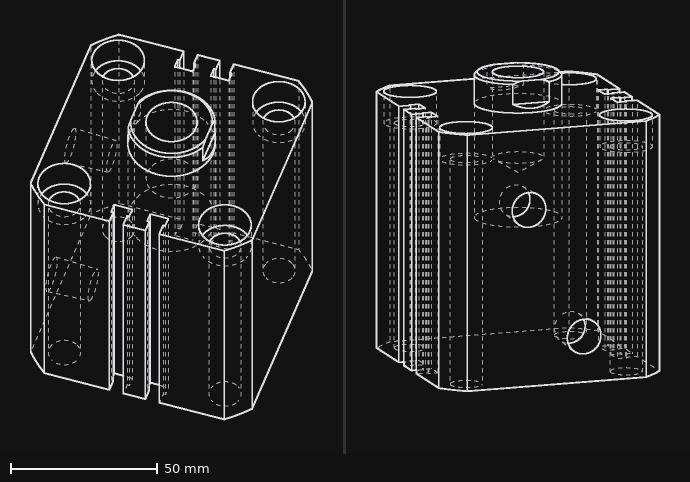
import cadquery as cq
import math

body_width = 80.0
body_height = 90.0
corner_radius = 51.5

groove_offset = 6.5
groove_mouth_width = 5.0
groove_inner_width = 6.5
groove_lip_depth = 4.2
groove_depth = 7.5

bolt_spacing = 58.0
bolt_hole_diameter = 11.0
counterbore_diameter = 18.0
counterbore_depth = 11.0

port_mouth_diameter = 12.2
port_floor_diameter = 11.2
port_depth = 15.0
port_places = [(10.0, 62.0), (-10.0, 16.0)]

rod_diameter = 30.0
rod_protrusion = 11.0
rod_engagement = 40.0
rod_chamfer = 1.0
rod_top = body_height + rod_protrusion
rod_bottom = body_height - rod_engagement

flat_spacing = 27.0
flat_length = 8.0
flat_depth = (rod_diameter - flat_spacing) / 2

drill_diameter = 17.5
drill_depth = 30.0
drill_point_angle = 118.0


def make_groove_cutter(x, side):
    """T-slot at x, open to the +Y face for side = 1 and to the -Y face for side = -1."""
    face = body_width / 2
    inner_depth = groove_depth - groove_lip_depth
    mouth = (
        cq.Workplane("XY")
        .center(x, side * (face - groove_depth / 2))
        .rect(groove_mouth_width, groove_depth)
        .extrude(body_height)
    )
    inner = (
        cq.Workplane("XY")
        .center(x, side * (face - groove_depth + inner_depth / 2))
        .rect(groove_inner_width, inner_depth)
        .extrude(body_height)
    )
    return mouth.union(inner)


def make_port_cutter(y, z):
    """Blind tapered port running along +X from the -X face."""
    port = cq.Solid.makeCone(
        port_mouth_diameter / 2,
        port_floor_diameter / 2,
        port_depth,
        cq.Vector(-body_width / 2, y, z),
        cq.Vector(1, 0, 0),
    )
    return cq.Workplane(port)


def make_body():
    square = cq.Workplane("XY").rect(body_width, body_width).extrude(body_height)
    corner_turning = cq.Workplane("XY").circle(corner_radius).extrude(body_height)
    body = square.intersect(corner_turning)

    for side in (-1, 1):
        for x in (-groove_offset, groove_offset):
            body = body.cut(make_groove_cutter(x, side))

    body = (
        body.faces(">Z")
        .workplane(origin=(0, 0, body_height))
        .rect(bolt_spacing, bolt_spacing, forConstruction=True)
        .vertices()
        .cboreHole(bolt_hole_diameter, counterbore_diameter, counterbore_depth)
    )

    for y, z in port_places:
        body = body.cut(make_port_cutter(y, z))

    rod_bore = (
        cq.Workplane("XY")
        .workplane(offset=rod_bottom)
        .circle(rod_diameter / 2)
        .extrude(rod_engagement)
    )
    return body.cut(rod_bore)


def make_flat_cutter():
    """Wrench flat on the +X side, with its sloped run-out at the lower end."""
    flat_x = flat_spacing / 2
    outer_x = rod_diameter / 2
    flat_bottom = rod_top - flat_length
    return (
        cq.Workplane("XZ")
        .moveTo(flat_x, rod_top)
        .lineTo(flat_x, flat_bottom)
        .lineTo(outer_x, flat_bottom - flat_depth)
        .lineTo(outer_x, rod_top)
        .close()
        .extrude(rod_diameter / 2, both=True)
    )


def make_drill_cutter():
    """Blind hole with a conical drill point, as a revolved half profile."""
    radius = drill_diameter / 2
    shoulder = rod_top - drill_depth
    point = shoulder - radius / math.tan(math.radians(drill_point_angle / 2))
    return (
        cq.Workplane("XZ")
        .moveTo(0, rod_top)
        .lineTo(radius, rod_top)
        .lineTo(radius, shoulder)
        .lineTo(0, point)
        .close()
        .revolve(360, (0, 0, 0), (0, 1, 0))
    )


def make_rod():
    rod = (
        cq.Workplane("XY")
        .workplane(offset=rod_bottom)
        .circle(rod_diameter / 2)
        .extrude(rod_engagement + rod_protrusion)
        .faces(">Z")
        .chamfer(rod_chamfer)
    )
    flat = make_flat_cutter()
    rod = rod.cut(flat).cut(flat.mirror("YZ"))
    return rod.cut(make_drill_cutter())


body = make_body()
rod = make_rod()

result = cq.Compound.makeCompound([body.val(), rod.val()])